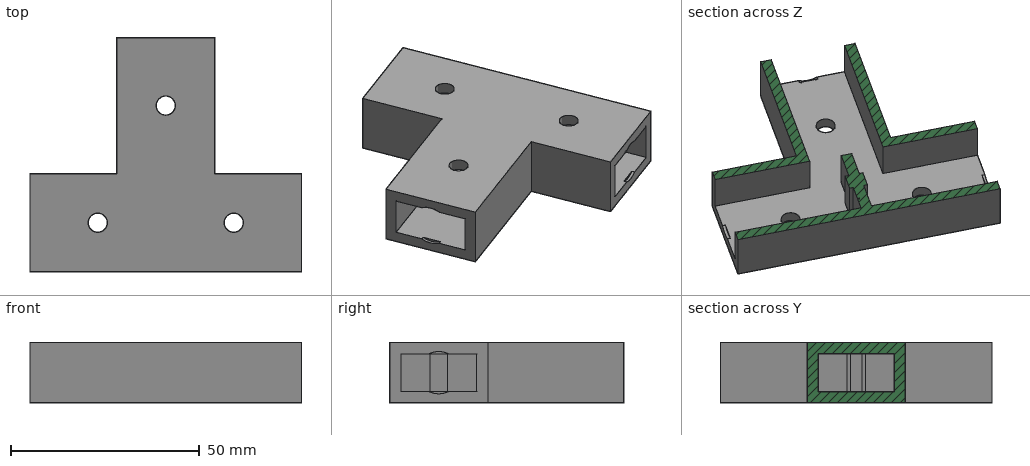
import cadquery as cq

run_length = 72.0
arm_width = 26.0
stem_length = 36.0
body_height = 16.0
wall = 3.0

passage_width = arm_width - 2 * wall
passage_height = body_height - 2 * wall

divider_thickness = 3.0
rib_width = 4.73
rib_height = 1.0

relief_diameter = 11.2
relief_depth = 0.8

pin_diameter = 5.0
pin_inset = 18.0

run_end = run_length / 2
stem_end = arm_width / 2 + stem_length

mouths = [
    ((-run_end, 0.0), (-1, 0)),
    ((run_end, 0.0), (1, 0)),
    ((0.0, stem_end), (0, 1)),
]


def tee(width, height):
    """Run and stem of one cross-section, flush with all three mouths."""
    run = cq.Workplane("XY").box(run_length, width, height)
    stem = cq.Workplane("XY").box(width, stem_end, height).translate((0, stem_end / 2, 0))
    return run.union(stem)


def make_divider():
    plate = cq.Workplane("XY").box(divider_thickness, passage_width, passage_height)
    rib = cq.Workplane("XY").box(divider_thickness + 2 * rib_height, rib_width, passage_height)
    return plate.union(rib)


def make_relief(center, outward):
    inward = (-outward[0], -outward[1], 0)
    mouth_plane = cq.Plane(origin=(*center, 0), xDir=(-outward[1], outward[0], 0), normal=inward)
    return cq.Workplane(mouth_plane).circle(relief_diameter / 2).extrude(relief_depth)


def make_pin_hole(center, outward):
    x = center[0] - outward[0] * pin_inset
    y = center[1] - outward[1] * pin_inset
    return cq.Workplane("XY").center(x, y).circle(pin_diameter / 2).extrude(body_height, both=True)


result = tee(arm_width, body_height).cut(tee(passage_width, passage_height))
result = result.union(make_divider())
for center, outward in mouths:
    result = result.cut(make_relief(center, outward))
    result = result.cut(make_pin_hole(center, outward))